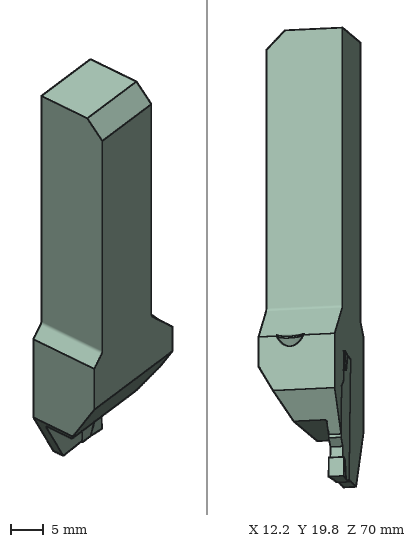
import cadquery as cq
import math

TOTAL_HEIGHT = 70.0
SHANK_SIZE = 12.0
SHANK_END_CHAMFER = 2.95

HEAD_BACK_Y = -1.95
HEAD_FRONT_Y = 17.15
SHOULDER_Z = 26.45
SHOULDER_FILLET = 0.7
BACK_SLOPE_Z = 9.5
HEEL_Y = 2.95
HEEL_Z = 0.15
SEAT_Y = 8.05
SEAT_Z = 0.35
NOSE_Y = 12.9
NOSE_Z = 6.4
FRONT_SLOPE_Z = 12.8

BLADE_THICKNESS = 1.95
RELIEF_Z = 8.5
RELIEF_FILLET = 0.35
RELIEF_SLOPE_X = 7.15
RELIEF_SLOPE_TOP_Z = 16.65

SCREW_X = 7.0
SCREW_RADIUS = 3.15
SCREW_HEIGHT = 2.45
SCREW_TILT = 30.0
SCREW_RIM_Y = 17.9
SCREW_RIM_Z = 20.9
SCREW_CHAMFER = 0.2

INSERT_Y = 7.1
INSERT_Z = 9.65
INSERT_TILT = 3.0
INSERT_BACK_HALF_LENGTH = 9.65
INSERT_TIP_HALF_LENGTH = 9.9
INSERT_DEPTH = 5.7
RAIL_HALF_LENGTH = 4.05
NECK_DEPTH = 4.4
NECK_HALF_LENGTH = 5.2
TIP_DEPTH = 4.55
TIP_INNER_END = 6.85
TIP_CORNER_DEPTH = 3.15
TIP_CORNER_END = 7.15
TIP_ROOT_DEPTH = 1.95
TIP_OVERHANG = 0.2


def make_insert():
    half_outline = [
        (0, INSERT_BACK_HALF_LENGTH),
        (TIP_DEPTH, INSERT_TIP_HALF_LENGTH),
        (TIP_DEPTH, TIP_INNER_END),
        (NECK_DEPTH, TIP_INNER_END),
        (NECK_DEPTH, NECK_HALF_LENGTH),
        (INSERT_DEPTH, RAIL_HALF_LENGTH),
    ]
    outline = half_outline + [(depth, -end) for depth, end in reversed(half_outline)]
    insert = cq.Workplane("YZ").polyline(outline).close().extrude(BLADE_THICKNESS)
    tip = make_upper_tip()
    insert = insert.union(tip).union(tip.mirror("XY"))
    return insert.rotate((0, 0, 0), (1, 0, 0), INSERT_TILT).translate((0, INSERT_Y, INSERT_Z))


def make_upper_tip():
    """Cutting tip whose flanks taper from the cutting edge down to the blade sides."""
    root_end = INSERT_BACK_HALF_LENGTH + (
        INSERT_TIP_HALF_LENGTH - INSERT_BACK_HALF_LENGTH
    ) * TIP_ROOT_DEPTH / TIP_DEPTH
    outline = [
        (TIP_ROOT_DEPTH, root_end),
        (TIP_DEPTH, INSERT_TIP_HALF_LENGTH),
        (TIP_DEPTH, TIP_INNER_END),
        (TIP_CORNER_DEPTH, TIP_CORNER_END),
    ]
    width = BLADE_THICKNESS + 2 * TIP_OVERHANG
    blank = cq.Workplane("YZ", origin=(-TIP_OVERHANG, 0, 0)).polyline(outline).close().extrude(width)
    taper = (
        cq.Workplane("XY")
        .polyline([
            (0, TIP_ROOT_DEPTH),
            (BLADE_THICKNESS, TIP_ROOT_DEPTH),
            (BLADE_THICKNESS + TIP_OVERHANG, TIP_DEPTH),
            (-TIP_OVERHANG, TIP_DEPTH),
        ])
        .close()
        .extrude(INSERT_TIP_HALF_LENGTH)
    )
    return blank.intersect(taper)


def make_body_blank():
    front_shoulder_z = SHOULDER_Z - (HEAD_FRONT_Y - SHANK_SIZE)
    outline = [
        (0, TOTAL_HEIGHT),
        (0, SHOULDER_Z),
        (HEAD_BACK_Y, SHOULDER_Z + HEAD_BACK_Y),
        (HEAD_BACK_Y, BACK_SLOPE_Z),
        (HEEL_Y, HEEL_Z),
        (SEAT_Y, SEAT_Z),
        (NOSE_Y, NOSE_Z),
        (HEAD_FRONT_Y, FRONT_SLOPE_Z),
        (HEAD_FRONT_Y, front_shoulder_z),
        (SHANK_SIZE, SHOULDER_Z),
        (SHANK_SIZE, TOTAL_HEIGHT),
    ]
    blank = cq.Workplane("YZ").polyline(outline).close().extrude(SHANK_SIZE)
    margin = 0.7
    shoulder_corners = cq.selectors.BoxSelector(
        (0, -margin, SHOULDER_Z - margin),
        (SHANK_SIZE, SHANK_SIZE + margin, SHOULDER_Z + margin),
    )
    blank = blank.edges("|X").edges(shoulder_corners).fillet(SHOULDER_FILLET)
    return blank.faces(">Z").edges(">X").chamfer(SHANK_END_CHAMFER)


def make_relief():
    """Material removed beside the blade, open towards +X and -Z."""
    clearance = 0.7
    depth = HEAD_FRONT_Y - HEAD_BACK_Y + 2 * clearance
    outer_x = SHANK_SIZE + clearance
    outline = [
        (BLADE_THICKNESS, -clearance),
        (BLADE_THICKNESS, RELIEF_Z),
        (RELIEF_SLOPE_X, RELIEF_Z),
        (SHANK_SIZE, RELIEF_SLOPE_TOP_Z),
        (outer_x, RELIEF_SLOPE_TOP_Z),
        (outer_x, -clearance),
    ]
    relief = (
        cq.Workplane("XZ", origin=(0, HEAD_FRONT_Y + clearance, 0))
        .polyline(outline)
        .close()
        .extrude(depth)
    )
    inner_corner = cq.selectors.NearestToPointSelector(
        (BLADE_THICKNESS, (HEAD_FRONT_Y + HEAD_BACK_Y) / 2, RELIEF_Z)
    )
    return relief.edges("|Y").edges(inner_corner).fillet(RELIEF_FILLET)


def make_screw_head():
    tilt = math.radians(SCREW_TILT)
    top_centre = (
        SCREW_X,
        SCREW_RIM_Y - SCREW_RADIUS * math.cos(tilt),
        SCREW_RIM_Z + SCREW_RADIUS * math.sin(tilt),
    )
    top_plane = cq.Plane(top_centre, xDir=(1, 0, 0), normal=(0, math.sin(tilt), math.cos(tilt)))
    disc = cq.Workplane(top_plane).circle(SCREW_RADIUS).extrude(-SCREW_HEIGHT)
    return disc.faces(cq.selectors.NearestToPointSelector(top_centre)).edges().chamfer(SCREW_CHAMFER)


def make_holder(insert):
    holder = make_body_blank().cut(make_relief())
    return holder.union(make_screw_head()).cut(insert)


insert = make_insert()
holder = make_holder(insert)

result = cq.Compound.makeCompound([holder.val(), insert.val()])